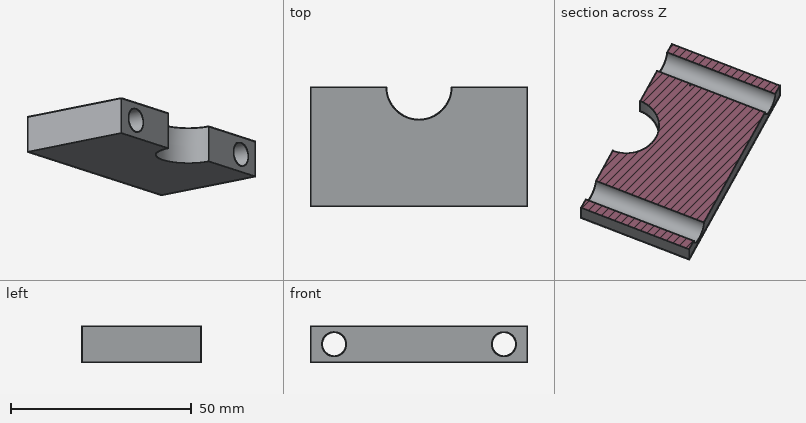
import cadquery as cq

length = 60.0
depth = 33.0
thickness = 10.0

notch_diameter = 18.0

hole_diameter = 6.6
hole_spacing = 47.0

block = cq.Workplane("XY").box(length, depth, thickness)

notch = (
    cq.Workplane("XY")
    .center(0, depth / 2)
    .circle(notch_diameter / 2)
    .extrude(thickness, both=True)
)

holes = (
    cq.Workplane("XZ")
    .pushPoints([(-hole_spacing / 2, 0), (hole_spacing / 2, 0)])
    .circle(hole_diameter / 2)
    .extrude(depth, both=True)
)

result = block.cut(notch).cut(holes)